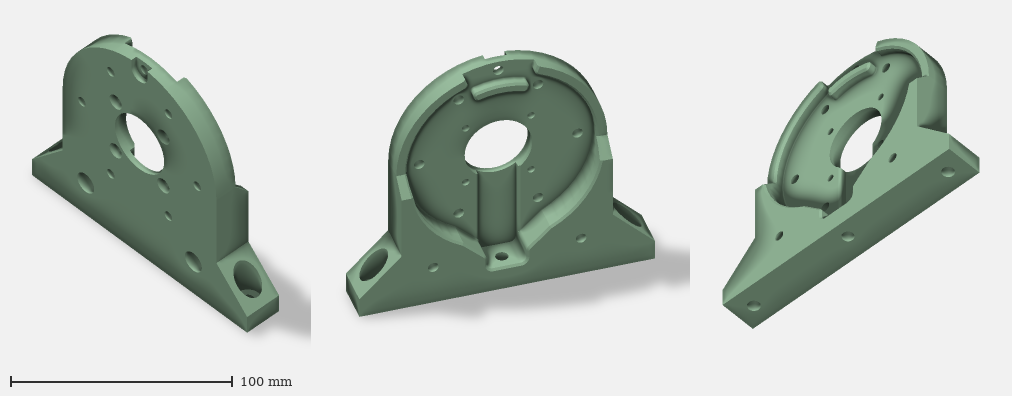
import cadquery as cq
import math

base_width = 140.0
base_edge_height = 10.0
shoulder_height = 30.0
body_radius = 50.0
axis_height = 70.0
base_depth = 20.0
disc_depth = 12.0

pocket_floor = 7.0
rim_thickness = 5.0
pocket_radius = body_radius - rim_thickness
pocket_lip_chamfer = 1.0
pocket_floor_fillet = 0.5
notch_half_angle = 20.0
corner_radius = 2.0

island_outer_radius = 40.0
island_thickness = 5.0
island_inner_radius = island_outer_radius - island_thickness

channel_floor = 3.0
channel_half_width = 9.5
channel_bottom = 12.0
channel_corner_radius = 3.0
channel_step_chamfer = 1.0
channel_mouth_radius = 3.0
funnel_half_width = 20.5
funnel_angle = 43.0
funnel_top = axis_height - math.sqrt(pocket_radius**2 - funnel_half_width**2)
funnel_drop = (funnel_half_width - channel_half_width) * math.tan(math.radians(funnel_angle))
funnel_bottom = funnel_top - funnel_drop

cable_hole_diameter = 6.0
cable_hole_y = 12.0

center_bore_diameter = 32.0
ring_hole_diameter = 5.0
ring_hole_radius = 37.5
ring_hole_count = 6

motor_hole_pitch = 31.0
motor_hole_diameter = 3.6
motor_sink_diameter = 8.0
motor_sink_angle = 90.0

face_screw_pitch = 70.0
face_screw_height = 20.0
face_screw_diameter = 5.0
face_screw_head_diameter = 11.0
face_screw_head_depth = 12.0

foot_screw_pitch = 120.0
foot_screw_diameter = 6.3
foot_screw_head_diameter = 13.0
foot_screw_seat_height = 7.0

top_hole_height = 115.0
top_hole_diameter = 5.0
top_slot_width = 10.4
top_slot_depth = 3.0

top_height = axis_height + body_radius
touch_tolerance = 1e-4


def xz_plane(depth):
    """Workplane at the given Y that extrudes toward +Y; its local x is -X, its local y is Z."""
    return cq.Workplane(cq.Plane(origin=(0, depth, 0), xDir=(-1, 0, 0), normal=(0, 1, 0)))


def depth_rod(x, z, diameter, depth=base_depth):
    """Cylinder along Y, starting at the front face."""
    return xz_plane(0).center(-x, z).circle(diameter / 2).extrude(depth)


def upright_rod(x, y, diameter, bottom, top):
    """Cylinder along Z between two heights."""
    return cq.Workplane("XY", origin=(x, y, bottom)).circle(diameter / 2).extrude(top - bottom)


def make_body():
    half_base = base_width / 2
    body = (
        xz_plane(0)
        .moveTo(-half_base, 0)
        .lineTo(half_base, 0)
        .lineTo(half_base, base_edge_height)
        .lineTo(body_radius, shoulder_height)
        .lineTo(body_radius, axis_height)
        .threePointArc((0, top_height), (-body_radius, axis_height))
        .lineTo(-body_radius, shoulder_height)
        .lineTo(-half_base, base_edge_height)
        .close()
        .extrude(base_depth)
    )
    step_depth = base_depth - disc_depth
    step = (
        cq.Workplane("YZ")
        .moveTo(disc_depth, axis_height)
        .lineTo(base_depth, axis_height - step_depth)
        .lineTo(base_depth, top_height)
        .lineTo(disc_depth, top_height)
        .close()
        .extrude(body_radius, both=True)
    )
    return body.cut(step)


def make_notch_wedge():
    """Wedge opening upward from the central axis, reaching beyond the rim."""
    reach = 2 * body_radius
    reach_x = reach * math.sin(math.radians(notch_half_angle))
    reach_z = reach * math.cos(math.radians(notch_half_angle))
    return (
        xz_plane(pocket_floor)
        .center(0, axis_height)
        .polyline([(0, 0), (reach_x, reach_z), (-reach_x, reach_z)])
        .close()
        .extrude(base_depth - pocket_floor)
    )


def make_island():
    """Ring sector spanning the same angle as the notch, with rounded corners."""
    ring = (
        xz_plane(pocket_floor)
        .center(0, axis_height)
        .circle(island_outer_radius)
        .circle(island_inner_radius)
        .extrude(base_depth - pocket_floor)
    )
    return ring.intersect(make_notch_wedge()).edges("|Y").fillet(corner_radius)


def make_channel(floor):
    """Slot from the central axis down to the channel bottom, with rounded lower corners."""
    return (
        xz_plane(floor)
        .center(0, (channel_bottom + axis_height) / 2)
        .rect(2 * channel_half_width, axis_height - channel_bottom)
        .extrude(base_depth - floor)
        .edges("|Y and <Z")
        .fillet(channel_corner_radius)
    )


def make_channel_bevel():
    """Bevel along both edges where the channel steps down from the pocket floor."""
    outer = channel_half_width + channel_step_chamfer
    lower = pocket_floor - channel_step_chamfer
    return (
        cq.Workplane("XY", origin=(0, 0, funnel_bottom))
        .moveTo(-channel_half_width, lower)
        .lineTo(channel_half_width, lower)
        .lineTo(outer, pocket_floor)
        .lineTo(-outer, pocket_floor)
        .close()
        .extrude(axis_height - funnel_bottom)
    )


def upright_edges_near(solid, height):
    """Edges along Y that lie within a rim thickness of the given height."""
    zone = cq.selectors.BoxSelector(
        (-funnel_half_width, 0, height - rim_thickness),
        (funnel_half_width, base_depth, height + rim_thickness),
    )
    return solid.edges("|Y").edges(zone)


def make_pocket():
    height = base_depth - pocket_floor
    disc = xz_plane(pocket_floor).center(0, axis_height).circle(pocket_radius).extrude(height)
    funnel = (
        xz_plane(pocket_floor)
        .moveTo(0, axis_height)
        .lineTo(-funnel_half_width, funnel_top)
        .lineTo(-channel_half_width, funnel_bottom)
        .lineTo(channel_half_width, funnel_bottom)
        .lineTo(funnel_half_width, funnel_top)
        .close()
        .extrude(height)
    )
    pocket = disc.union(make_notch_wedge()).union(funnel).union(make_channel(pocket_floor))
    pocket = upright_edges_near(pocket, funnel_bottom).fillet(channel_mouth_radius)

    notch_corner_height = axis_height + pocket_radius * math.cos(math.radians(notch_half_angle))
    pocket = upright_edges_near(pocket, notch_corner_height).fillet(corner_radius)

    pocket = pocket.cut(make_island())
    return pocket.faces("<Y").edges().fillet(pocket_floor_fillet)


def cut_pocket(part):
    """Cut the pocket and chamfer the edges where its walls meet the back surfaces."""
    pocket = make_pocket()
    part = part.cut(pocket)
    lip_edges = []
    for edge in part.edges("not |Y").vals():
        middle = edge.positionAt(0.5)
        at_back = middle.y > disc_depth - touch_tolerance
        gap = pocket.val().distance(cq.Vertex.makeVertex(*middle.toTuple()))
        if at_back and gap < touch_tolerance:
            lip_edges.append(edge)
    return part.newObject(lip_edges).chamfer(pocket_lip_chamfer)


def cut_channel(part):
    part = part.cut(make_channel(channel_floor)).cut(make_channel_bevel())
    hole_top = channel_bottom + channel_corner_radius
    return part.cut(upright_rod(0, cable_hole_y, cable_hole_diameter, 0, hole_top))


def cut_ring_holes(part):
    for index in range(ring_hole_count):
        angle = 2 * math.pi * index / ring_hole_count
        x = ring_hole_radius * math.cos(angle)
        z = axis_height + ring_hole_radius * math.sin(angle)
        part = part.cut(depth_rod(x, z, ring_hole_diameter))
    return part


def cut_motor_holes(part):
    hole_radius = motor_hole_diameter / 2
    sink_radius = motor_sink_diameter / 2
    sink_depth = (sink_radius - hole_radius) / math.tan(math.radians(motor_sink_angle / 2))
    for side_x in (-1, 1):
        for side_z in (-1, 1):
            x = side_x * motor_hole_pitch / 2
            z = axis_height + side_z * motor_hole_pitch / 2
            sink = cq.Solid.makeCone(
                sink_radius, hole_radius, sink_depth, cq.Vector(x, 0, z), cq.Vector(0, 1, 0)
            )
            part = part.cut(depth_rod(x, z, motor_hole_diameter)).cut(cq.Workplane(sink))
    return part


def cut_mounting_screws(part):
    foot_y = base_depth / 2
    for side in (-1, 1):
        face_x = side * face_screw_pitch / 2
        head = depth_rod(face_x, face_screw_height, face_screw_head_diameter, face_screw_head_depth)
        part = part.cut(depth_rod(face_x, face_screw_height, face_screw_diameter)).cut(head)

        foot_x = side * foot_screw_pitch / 2
        shank = upright_rod(foot_x, foot_y, foot_screw_diameter, 0, shoulder_height)
        seat = upright_rod(
            foot_x, foot_y, foot_screw_head_diameter, foot_screw_seat_height, shoulder_height
        )
        part = part.cut(shank).cut(seat)
    return part


def cut_top_hole(part):
    slot_length = top_height - top_hole_height
    open_end = (
        xz_plane(0)
        .center(0, top_hole_height + slot_length / 2)
        .rect(top_slot_width, slot_length)
        .extrude(top_slot_depth)
    )
    round_end = depth_rod(0, top_hole_height, top_slot_width, top_slot_depth)
    hole = depth_rod(0, top_hole_height, top_hole_diameter)
    return part.cut(open_end).cut(round_end).cut(hole)


part = cut_pocket(make_body())
part = cut_channel(part)
part = part.cut(depth_rod(0, axis_height, center_bore_diameter))
part = cut_ring_holes(part)
part = cut_motor_holes(part)
part = cut_mounting_screws(part)
result = cut_top_hole(part)